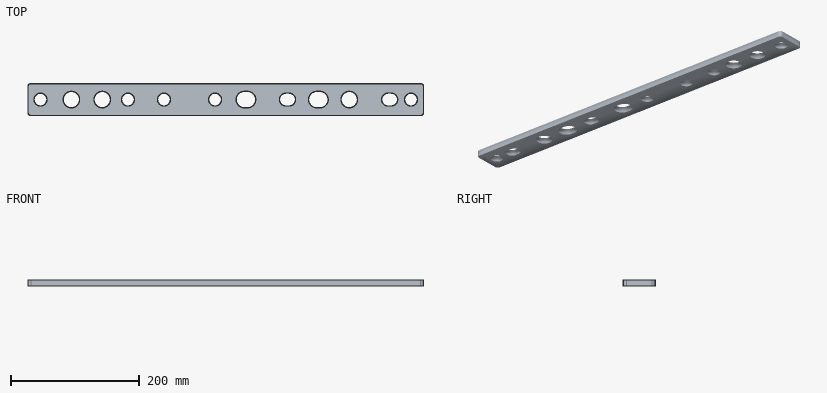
import cadquery as cq

length = 616.0
width = 50.0
thickness = 10.0
corner_radius = 5.0

small_diameter = 20.0
large_diameter = 25.0
end_hole_x = 288.0
small_hole_positions = [-end_hole_x, -152.0, -96.0, -16.5, end_hole_x]
large_hole_positions = [-240.0, -192.0, 192.0]

narrow_slot_length = 24.5
narrow_slot_positions = [96.0, 255.0]
wide_slot_length = 30.0
wide_slot_positions = [31.5, 144.0]


def along_centreline(positions):
    """Workplane with one point on the bar's centreline for each X position."""
    return cq.Workplane("XY").workplane(offset=-thickness / 2).pushPoints([(x, 0) for x in positions])


def round_holes(positions, diameter):
    return along_centreline(positions).circle(diameter / 2).extrude(thickness)


def slots(positions, overall_length, slot_width):
    return along_centreline(positions).slot2D(overall_length, slot_width).extrude(thickness)


bar = cq.Workplane("XY").box(length, width, thickness).edges("|Z").fillet(corner_radius)

result = (
    bar.cut(round_holes(small_hole_positions, small_diameter))
    .cut(round_holes(large_hole_positions, large_diameter))
    .cut(slots(narrow_slot_positions, narrow_slot_length, small_diameter))
    .cut(slots(wide_slot_positions, wide_slot_length, large_diameter))
)